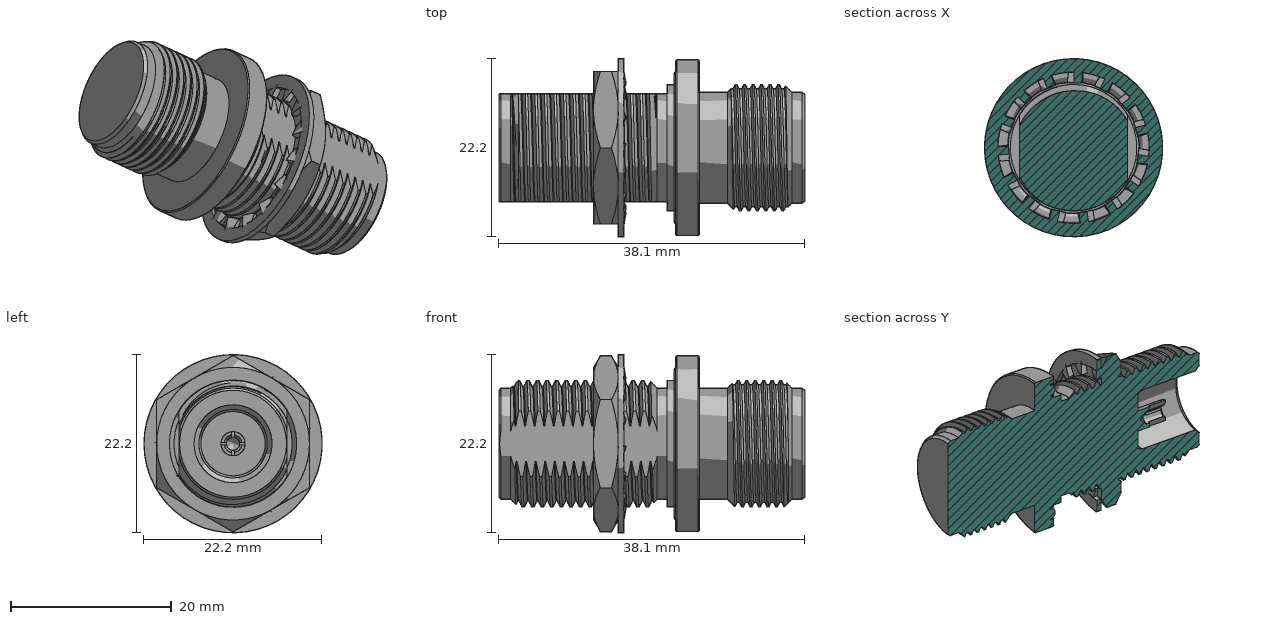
import cadquery as cq
import math


total_length = 38.1
neck_radius = 6.92
front_edge_chamfer = 0.27
rear_chamfer_length = 0.4
rear_chamfer_height = 0.3
flat_half_width = 6.74

thread_radius = 7.87
front_thread_start = 1.47
front_thread_end = 19.7
front_pitch = 1.19
front_root_radius = 7.1
front_crest_width = 0.3
front_root_width = 0.12
front_crest_x = 3.62
rear_thread_start = 28.43
rear_thread_end = 36.45
rear_pitch = 25.4 / 24
rear_root_radius = 7.35
rear_crest_width = 0.2
rear_root_width = 0.3
rear_crest_x = 29.78
ridge_embed = 0.1

collar_radius = thread_radius
collar_x = 20.92
flange_radius = 10.96
flange_x = 22.0
flange_thickness = 2.95
flange_chamfer = 0.15
seal_mean_radius = 9.0
seal_section_radius = 0.8
seal_clearance = 0.05
seal_protrusion = 0.22

nut_x = 11.78
nut_thickness = 3.07
nut_across_flats = 19.0
nut_bore_radius = 7.35
engaged_radius = nut_bore_radius + 0.1
nut_countersink_radius = thread_radius + 0.05
nut_face_radius = nut_across_flats / 2
nut_chamfer_angle = 30
washer_thickness = 0.7
washer_radius = 11.1
washer_inner_radius = 9.4
tooth_count = 15
tooth_width = 1.8
tooth_tip_radius = 8.05
tooth_root_overlap = 0.3
tooth_twist = 20
first_tooth_angle = -7.5

bore_mouth_radius = 4.85
bore_radius = 4.26
bore_mouth_depth = 0.6
bore_ledge_depth = 8.7
bore_floor_radius = 4.0
bore_floor_depth = 9.2
contact_radius = 1.5
contact_tip_depth = 5.0
contact_mouth_radius = 1.1
contact_hole_radius = 0.82
contact_mouth_depth = 0.28
contact_hole_depth = 3.0
contact_slot_width = 0.35
contact_slot_depth = 2.5


def revolve_profile(points):
    """Solid of revolution about X from (x, radius) points."""
    return cq.Workplane("XY").polyline(points).close().revolve(360, (0, 0, 0), (1, 0, 0))


def cylinder(x, length, radius):
    return cq.Workplane("YZ", origin=(x, 0, 0)).circle(radius).extrude(length)


def join(pieces):
    whole = pieces[0]
    for piece in pieces[1:]:
        whole = whole.union(piece, clean=False)
    return whole


def make_threaded_rod(start, end, pitch, root_radius, crest_width, root_width, crest_x):
    """Full-length rod with a right-handed thread over start..end and a crest at crest_x on the +Z side."""
    flank_slope = (pitch - crest_width - root_width) / 2 / (thread_radius - root_radius)
    base_radius = root_radius - ridge_embed
    crest_half = crest_width / 2
    base_half = crest_half + flank_slope * (thread_radius - base_radius)
    ridge_x = crest_x - (math.ceil((crest_x - start) / pitch) + 1.5) * pitch
    ridge_length = (math.ceil((end - ridge_x) / pitch) + 1) * pitch
    ridge = (
        cq.Workplane("XZ")
        .polyline([
            (base_radius, -base_half),
            (base_radius, base_half),
            (thread_radius, crest_half),
            (thread_radius, -crest_half),
        ])
        .close()
        .sweep(cq.Workplane(cq.Wire.makeHelix(pitch, ridge_length, root_radius)), isFrenet=True)
        .rotate((0, 0, 0), (0, 1, 0), 90)
        .translate((ridge_x, 0, 0))
    )
    core = cylinder(0, total_length, root_radius)
    return core.union(ridge, clean=False)


def flatten(barrel):
    length = 2 * total_length
    return barrel.intersect(cq.Workplane("XY").box(length, 2 * flat_half_width, 2 * flange_radius), clean=False)


def make_front_barrel():
    """Flattened front barrel; it is plain inside the nut, where the thread is engaged."""
    nut_end = nut_x + nut_thickness
    profile = (front_pitch, front_root_radius, front_crest_width, front_root_width, front_crest_x)
    front_limits = revolve_profile([
        (0, 0),
        (0, neck_radius - front_edge_chamfer),
        (front_edge_chamfer, neck_radius),
        (front_thread_start, neck_radius),
        (nut_x, neck_radius + nut_x - front_thread_start),
        (nut_x, 0),
    ])
    back_limits = revolve_profile([
        (nut_end, 0),
        (nut_end, neck_radius + front_thread_end - nut_end),
        (front_thread_end, neck_radius),
        (collar_x, neck_radius),
        (collar_x, 0),
    ])
    front_rod = make_threaded_rod(front_thread_start, nut_x, *profile)
    back_rod = make_threaded_rod(nut_end, front_thread_end, *profile)
    return join([
        front_rod.intersect(flatten(front_limits), clean=False),
        flatten(cylinder(nut_x, nut_thickness, engaged_radius)),
        back_rod.intersect(flatten(back_limits), clean=False),
    ])


def make_rear_barrel():
    flange_end = flange_x + flange_thickness
    half_thread = (rear_thread_end - rear_thread_start) / 2
    limits = revolve_profile([
        (flange_end, 0),
        (flange_end, neck_radius),
        (rear_thread_start, neck_radius),
        (rear_thread_start + half_thread, neck_radius + half_thread),
        (rear_thread_end, neck_radius),
        (total_length - rear_chamfer_length, neck_radius),
        (total_length, neck_radius - rear_chamfer_height),
        (total_length, 0),
    ])
    rod = make_threaded_rod(
        rear_thread_start, rear_thread_end, rear_pitch,
        rear_root_radius, rear_crest_width, rear_root_width, rear_crest_x,
    )
    return rod.intersect(limits, clean=False)


def make_flange():
    """Collar and flange, with a half-round seal standing in a shallow groove."""
    flange_end = flange_x + flange_thickness
    seal_floor_x = flange_x - seal_protrusion + seal_section_radius
    seal_inner_radius = seal_mean_radius - seal_section_radius
    seal_outer_radius = seal_mean_radius + seal_section_radius
    return (
        cq.Workplane("XY")
        .moveTo(collar_x, 0)
        .lineTo(collar_x, collar_radius)
        .lineTo(flange_x, collar_radius)
        .lineTo(flange_x, seal_inner_radius - seal_clearance)
        .lineTo(seal_floor_x, seal_inner_radius - seal_clearance)
        .lineTo(seal_floor_x, seal_inner_radius)
        .threePointArc(
            (flange_x - seal_protrusion, seal_mean_radius),
            (seal_floor_x, seal_outer_radius),
        )
        .lineTo(seal_floor_x, seal_outer_radius + seal_clearance)
        .lineTo(flange_x, seal_outer_radius + seal_clearance)
        .lineTo(flange_x, flange_radius - flange_chamfer)
        .lineTo(flange_x + flange_chamfer, flange_radius)
        .lineTo(flange_end - flange_chamfer, flange_radius)
        .lineTo(flange_end, flange_radius - flange_chamfer)
        .lineTo(flange_end, 0)
        .close()
        .revolve(360, (0, 0, 0), (1, 0, 0))
    )


def make_nut():
    corner_diameter = nut_across_flats / math.cos(math.radians(30))
    corner_radius = corner_diameter / 2
    chamfer = (corner_radius - nut_face_radius) * math.tan(math.radians(nut_chamfer_angle))
    countersink = nut_countersink_radius - nut_bore_radius
    nut_end = nut_x + nut_thickness
    hexagon = (
        cq.Workplane("YZ", origin=(nut_x, 0, 0))
        .polygon(6, corner_diameter)
        .extrude(nut_thickness)
        .rotate((0, 0, 0), (1, 0, 0), 30)
    )
    turned = revolve_profile([
        (nut_x, nut_countersink_radius),
        (nut_x, nut_face_radius),
        (nut_x + chamfer, corner_radius),
        (nut_end - chamfer, corner_radius),
        (nut_end, nut_face_radius),
        (nut_end, nut_bore_radius),
        (nut_x + countersink, nut_bore_radius),
    ])
    return hexagon.intersect(turned)


def make_tooth(angle):
    """Radial tooth that twists towards its tip, pointing inwards from the -Y side."""
    outer = washer_inner_radius + tooth_root_overlap
    centre_x = nut_x + nut_thickness + washer_thickness / 2
    return (
        cq.Workplane("XZ", origin=(centre_x, -outer, 0))
        .rect(washer_thickness, tooth_width)
        .twistExtrude(tooth_tip_radius - outer, tooth_twist)
        .rotate((0, 0, 0), (1, 0, 0), -angle)
    )


def make_lock_washer():
    washer_x = nut_x + nut_thickness
    washer = cylinder(washer_x, washer_thickness, washer_radius)
    washer = washer.cut(cylinder(washer_x, washer_thickness, washer_inner_radius))
    for index in range(tooth_count):
        washer = washer.union(make_tooth(first_tooth_angle + index * 360 / tooth_count), clean=False)
    return washer


def make_bore():
    return revolve_profile([
        (0, 0),
        (0, bore_mouth_radius),
        (bore_mouth_depth, bore_radius),
        (bore_ledge_depth, bore_radius),
        (bore_floor_depth, bore_floor_radius),
        (bore_floor_depth, 0),
    ])


def make_contact():
    hole_end = contact_tip_depth + contact_hole_depth
    contact = cylinder(contact_tip_depth, bore_floor_depth - contact_tip_depth, contact_radius)
    hole = revolve_profile([
        (contact_tip_depth, 0),
        (contact_tip_depth, contact_mouth_radius),
        (contact_tip_depth + contact_mouth_depth, contact_hole_radius),
        (hole_end, contact_hole_radius),
        (hole_end + contact_hole_radius, 0),
    ])
    contact = contact.cut(hole)
    slot = (
        cq.Workplane("XY")
        .box(contact_slot_depth, contact_slot_width, 2 * contact_radius, centered=(False, True, True))
        .translate((contact_tip_depth, 0, 0))
    )
    for angle in (0, 90):
        contact = contact.cut(slot.rotate((0, 0, 0), (1, 0, 0), angle))
    return contact


front_barrel = make_front_barrel().cut(make_bore(), clean=False)
nut_and_washer = join([make_nut(), make_lock_washer()])
result = join([front_barrel, nut_and_washer, make_contact(), make_flange(), make_rear_barrel()])